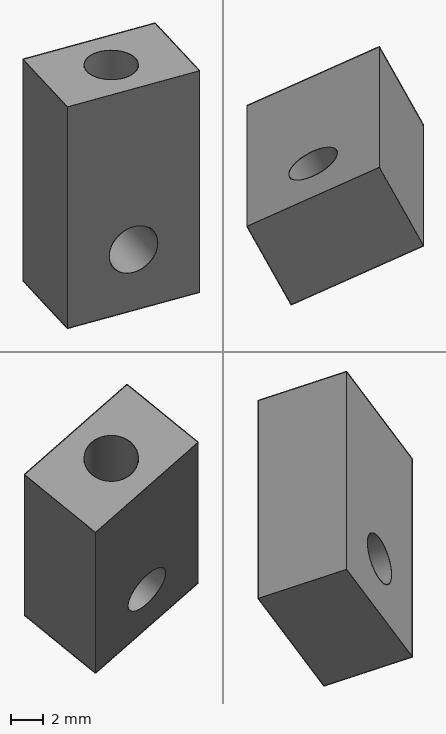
import cadquery as cq
import math

width = 6.0
depth = 9.0
height = 16.0

hole_diameter = 3.3
hole_radius = hole_diameter / 2
cross_hole_height = 4.4
blind_hole_depth = 8.0
drill_point_angle = 118.0
drill_point_depth = hole_radius / math.tan(math.radians(drill_point_angle / 2))


def cross_hole():
    """Through hole along X, near the bottom of the block."""
    return (
        cq.Workplane("YZ")
        .center(0, cross_hole_height)
        .circle(hole_radius)
        .extrude(width, both=True)
    )


def blind_hole():
    """Hole drilled down from the top face, ending in a conical drill point."""
    shoulder = height - blind_hole_depth
    return (
        cq.Workplane("XZ")
        .moveTo(0, height)
        .lineTo(hole_radius, height)
        .lineTo(hole_radius, shoulder)
        .lineTo(0, shoulder - drill_point_depth)
        .close()
        .revolve(360, (0, 0, 0), (0, 1, 0))
    )


block = cq.Workplane("XY").box(width, depth, height, centered=(True, True, False))
result = block.cut(cross_hole()).cut(blind_hole())